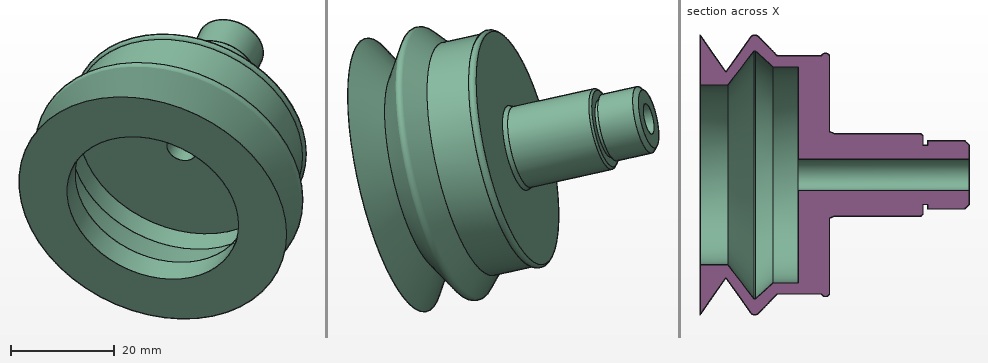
import cadquery as cq


outer_radius = 27.0
neck_radius = 19.85
neck_y = 4.95
fold_lower_y = 9.8
fold_upper_y = 11.25
fold_edge_radius = 26.7
collar_radius = 46.0 / 2
collar_y = 14.85
bead_lower_y = 23.4
bead_radius = 46.95 / 2
body_top_y = 24.95

stem_radius = 16.0 / 2
stem_foot_radius = 8.35
stem_foot_height = 0.9
stem_top_y = 42.95
stem_chamfer = 0.45
relief_radius = 11.45 / 2
relief_top_y = 43.85
tip_radius = 13.15 / 2
tip_chamfer = 0.85
overall_length = 51.9

bore_radius = 6.0 / 2
mouth_radius = 34.6 / 2
mouth_depth = 5.35
groove_radius = 23.85
groove_lower_y = 10.35
groove_upper_y = 10.7
groove_end_radius = 21.2
groove_end_y = 13.6
chamber_radius = 41.6 / 2
chamber_start_y = 14.05
chamber_depth = 18.9


def make_body():
    """Revolve the bellows and its stem as one solid without cavities."""
    fold_middle_y = (fold_lower_y + fold_upper_y) / 2
    bead_middle_y = (bead_lower_y + body_top_y) / 2
    profile = (
        cq.Workplane("XY")
        .lineTo(outer_radius, 0)
        .lineTo(neck_radius, neck_y)
        .lineTo(fold_edge_radius, fold_lower_y)
        .threePointArc((outer_radius, fold_middle_y), (fold_edge_radius, fold_upper_y))
        .lineTo(collar_radius, collar_y)
        .lineTo(collar_radius, bead_lower_y)
        .threePointArc((bead_radius, bead_middle_y), (collar_radius, body_top_y))
        .lineTo(stem_foot_radius, body_top_y)
        .lineTo(stem_radius, body_top_y + stem_foot_height)
        .lineTo(stem_radius, stem_top_y - stem_chamfer)
        .lineTo(stem_radius - stem_chamfer, stem_top_y)
        .lineTo(relief_radius, stem_top_y)
        .lineTo(relief_radius, relief_top_y)
        .lineTo(tip_radius, relief_top_y)
        .lineTo(tip_radius, overall_length - tip_chamfer)
        .lineTo(tip_radius - tip_chamfer, overall_length)
        .lineTo(0, overall_length)
        .close()
    )
    return profile.revolve(360, (0, 0, 0), (0, 1, 0))


def make_cavity():
    """Revolve the mouth, fold groove, chamber and through bore."""
    profile = (
        cq.Workplane("XY")
        .lineTo(mouth_radius, 0)
        .lineTo(mouth_radius, mouth_depth)
        .lineTo(groove_radius, groove_lower_y)
        .lineTo(groove_radius, groove_upper_y)
        .lineTo(groove_end_radius, groove_end_y)
        .lineTo(chamber_radius, chamber_start_y)
        .lineTo(chamber_radius, chamber_depth)
        .lineTo(bore_radius, chamber_depth)
        .lineTo(bore_radius, overall_length)
        .lineTo(0, overall_length)
        .close()
    )
    return profile.revolve(360, (0, 0, 0), (0, 1, 0))


result = make_body().cut(make_cavity())